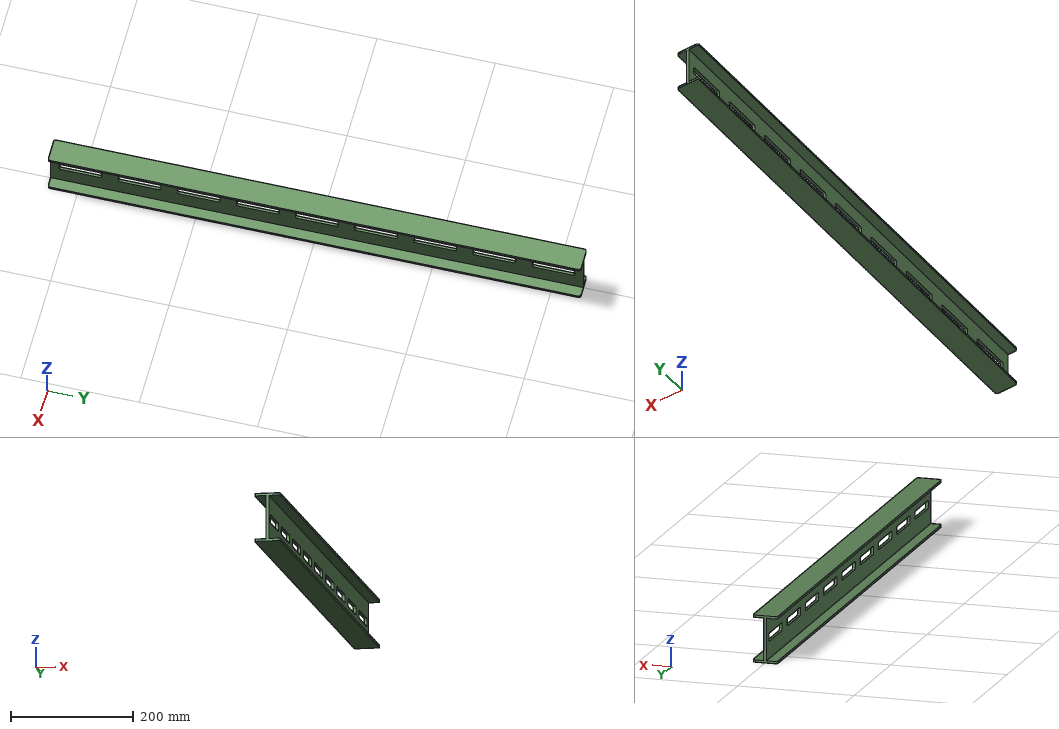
import cadquery as cq

length = 900.0
flange_width = 42.0
height = 80.0
flange_thickness = 4.05
flange_corner_radius = 4.5
web_thickness = 4.95

slot_count = 9
slot_pitch = 100.0
slot_length = 72.0
slot_height = 13.5
slot_corner_radius = 3.0


def make_flange(side):
    """Flat flange with rounded plan corners at the top (side = 1) or bottom (side = -1) of the beam."""
    center_z = side * (height - flange_thickness) / 2
    flange = cq.Workplane("XY").box(flange_width, length, flange_thickness)
    return flange.edges("|Z").fillet(flange_corner_radius).translate((0, 0, center_z))


def make_slots():
    """Cutters for the evenly spaced slots, longer than the web is thick."""
    return (
        cq.Workplane("YZ")
        .rarray(slot_pitch, 9, slot_count, 1)
        .rect(slot_length, slot_height)
        .extrude(web_thickness, both=True)
        .edges("|X")
        .fillet(slot_corner_radius)
    )


def make_web():
    """Upright web pierced by the row of slots."""
    return cq.Workplane("XY").box(web_thickness, length, height).cut(make_slots())


result = make_web().union(make_flange(1)).union(make_flange(-1)).clean()